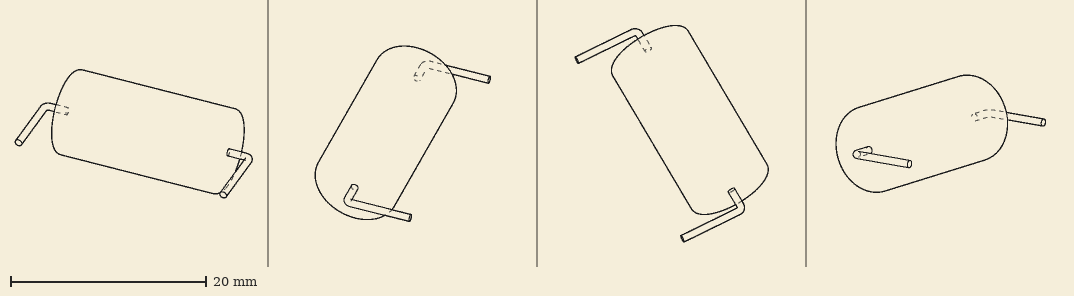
import cadquery as cq

overall_length = 23.6
body_length = 18.0
body_diameter = 9.02
body_edge_radius = 0.5
wire_diameter = 0.75
bend_radius = 0.5
leg_reach = 7.01

wire_radius = wire_diameter / 2
leg_x = overall_length / 2 - wire_radius


def make_body():
    """Cylinder along X, centred on the origin, with rounded end edges."""
    return (
        cq.Workplane("YZ")
        .circle(body_diameter / 2)
        .extrude(body_length / 2, both=True)
        .edges("%CIRCLE")
        .fillet(body_edge_radius)
    )


def make_lead(side):
    """Bent wire from the body centre to a leg along -Y; side is +1 or -1 in X."""
    bend_start_x = side * (leg_x - bend_radius)
    axial_wire = cq.Workplane("YZ").circle(wire_radius).extrude(bend_start_x)

    bend = (
        cq.Workplane("YZ", origin=(bend_start_x, 0, 0))
        .circle(wire_radius)
        .revolve(90, (-bend_radius, 0, 0), (-bend_radius, -side, 0))
    )

    leg = (
        cq.Workplane("XZ", origin=(side * leg_x, -bend_radius, 0))
        .circle(wire_radius)
        .extrude(leg_reach - bend_radius)
    )
    return axial_wire.union(bend).union(leg)


result = make_body()
for side in (-1, 1):
    result = result.union(make_lead(side))